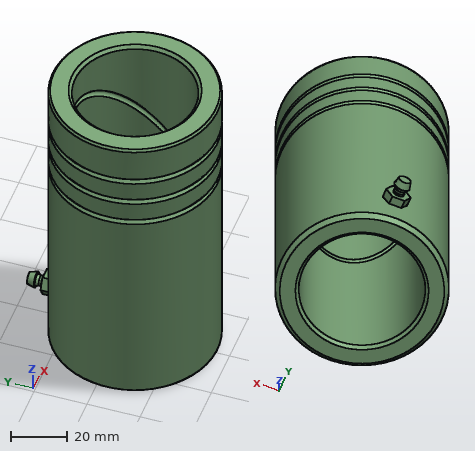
import cadquery as cq
import math

LENGTH = 120.0
OUTER_RADIUS = 31.02
BORE_RADIUS = 22.5
BORE_CHAMFER = 1.2
TOP_CHAMFER_WIDTH = 0.7
TOP_CHAMFER_HEIGHT = 1.0
BASE_CHAMFER = 1.7

RING_COUNT = 3
RING_PITCH = 10.0
FIRST_RING_DEPTH_FROM_TOP = 15.4
RING_WIDTH = 2.3
RING_DEPTH = 1.1

OIL_GROOVE_Z = 84.1
OIL_GROOVE_TILT = 42.5
OIL_GROOVE_RADIUS = 1.2

NIPPLE_Z = 15.0
HEX_ACROSS_FLATS = 8.2
HEX_TOP = 34.1
COLLAR_TOP = 34.8
NECK_TOP = 35.8
FLARE_Y = 37.2
FLARE_UNDERSIDE_Y = 37.0
TIP_Y = 40.02
NECK_RADIUS = 1.9
COLLAR_RADIUS = 2.0
FLARE_RADIUS = 3.0
FLARE_ROOT_RADIUS = 2.4
TIP_RADIUS = 2.3


def sleeve_blank():
    """Chamfered tube, revolved about Z."""
    return (
        cq.Workplane("XZ")
        .moveTo(BORE_RADIUS + BORE_CHAMFER, 0)
        .lineTo(OUTER_RADIUS - BASE_CHAMFER, 0)
        .lineTo(OUTER_RADIUS, BASE_CHAMFER)
        .lineTo(OUTER_RADIUS, LENGTH - TOP_CHAMFER_HEIGHT)
        .lineTo(OUTER_RADIUS - TOP_CHAMFER_WIDTH, LENGTH)
        .lineTo(BORE_RADIUS + BORE_CHAMFER, LENGTH)
        .lineTo(BORE_RADIUS, LENGTH - BORE_CHAMFER)
        .lineTo(BORE_RADIUS, BORE_CHAMFER)
        .close()
        .revolve(360, (0, 0), (0, 1))
    )


def ring_cutter(z):
    """V-shaped ring cutter centred at height z."""
    half_width = RING_WIDTH / 2
    return (
        cq.Workplane("XZ")
        .moveTo(OUTER_RADIUS, z - half_width)
        .lineTo(OUTER_RADIUS - RING_DEPTH, z)
        .lineTo(OUTER_RADIUS, z + half_width)
        .close()
        .revolve(360, (0, 0), (0, 1))
    )


def oil_groove_cutter():
    """Round bar swept along the tilted ellipse, highest on the +Y side."""
    tilt = math.radians(OIL_GROOVE_TILT)
    ellipse_plane = cq.Plane(
        origin=(0, 0, OIL_GROOVE_Z),
        xDir=(1, 0, 0),
        normal=(0, -math.sin(tilt), math.cos(tilt)),
    )
    path = cq.Workplane(ellipse_plane).ellipse(BORE_RADIUS, BORE_RADIUS / math.cos(tilt))
    section_plane = cq.Plane(
        origin=(BORE_RADIUS, 0, OIL_GROOVE_Z),
        xDir=(1, 0, 0),
        normal=(0, math.cos(tilt), math.sin(tilt)),
    )
    return cq.Workplane(section_plane).circle(OIL_GROOVE_RADIUS).sweep(path)


def make_sleeve():
    body = sleeve_blank()
    for index in range(RING_COUNT):
        body = body.cut(ring_cutter(LENGTH - FIRST_RING_DEPTH_FROM_TOP - index * RING_PITCH))
    return body.cut(oil_groove_cutter())


def nipple_hex():
    """Hexagon with flats up and down, its foot shaped to the sleeve wall."""
    across_corners = HEX_ACROSS_FLATS / math.cos(math.pi / 6)
    foot_y = math.sqrt(OUTER_RADIUS**2 - (across_corners / 2) ** 2)
    prism = (
        cq.Workplane("XZ", origin=(0, foot_y, NIPPLE_Z))
        .polygon(6, across_corners)
        .extrude(foot_y - HEX_TOP)
    )
    return prism.cut(cq.Workplane("XY").circle(OUTER_RADIUS).extrude(LENGTH))


def nipple_head():
    """Collar, neck, flare and tapered tip, revolved about the nipple axis."""
    return (
        cq.Workplane("XY", origin=(0, 0, NIPPLE_Z))
        .moveTo(0, HEX_TOP)
        .lineTo(COLLAR_RADIUS, HEX_TOP)
        .lineTo(COLLAR_RADIUS, COLLAR_TOP)
        .lineTo(NECK_RADIUS, COLLAR_TOP)
        .lineTo(NECK_RADIUS, NECK_TOP)
        .lineTo(FLARE_ROOT_RADIUS, FLARE_UNDERSIDE_Y)
        .lineTo(FLARE_RADIUS, FLARE_Y)
        .lineTo(TIP_RADIUS, TIP_Y)
        .lineTo(0, TIP_Y)
        .close()
        .revolve(360, (0, 0), (0, 1))
    )


def make_grease_nipple():
    return nipple_hex().union(nipple_head())


sleeve = make_sleeve()
grease_nipple = make_grease_nipple()
result = cq.Compound.makeCompound([sleeve.val(), grease_nipple.val()])